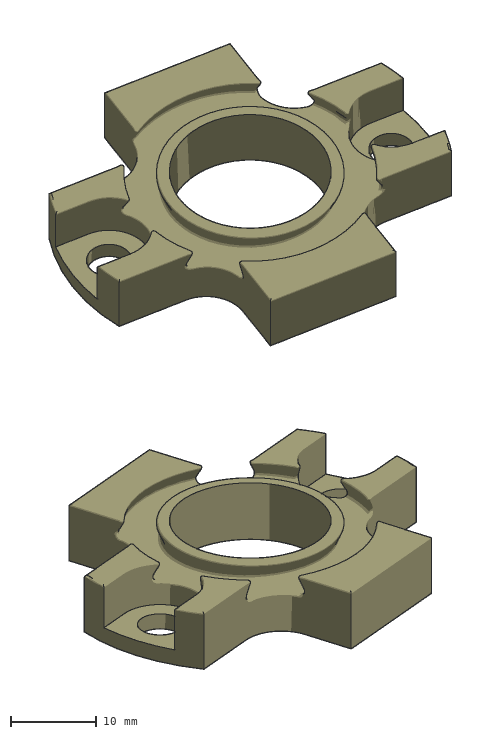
import cadquery as cq
import math

length_x = 40.0
length_y = 47.9
height = 7.5

arm_width = 16.95
inner_corner_radius = 5.0
bore_diameter = 19.0

screw_hole_diameter = 5.3
screw_hole_offset = 19.0
seat_width = 10.0
seat_floor_z = 2.0

groove_floor_z = 5.0
groove_floor_inner_radius = 11.0
groove_floor_outer_radius = 14.9
groove_root_radius = 0.6
groove_wall_tilt = 25.0

edge_round = 0.31
tolerance = 0.005


def box(size_x, size_y, bottom, top):
    """Box centred on the Z axis between two heights."""
    return cq.Workplane("XY").workplane(offset=bottom).rect(size_x, size_y).extrude(top - bottom)


def make_body():
    """Cross with rounded inner corners and round ends on the Y arms."""
    cross = box(length_x, arm_width, 0, height).union(box(arm_width, length_y, 0, height))
    half = arm_width / 2 + tolerance
    inner_corners = cq.selectors.BoxSelector((-half, -half, -tolerance), (half, half, height + tolerance))
    cross = cross.edges("|Z").edges(inner_corners).fillet(inner_corner_radius)
    round_ends = cq.Workplane("XY").circle(length_y / 2).extrude(height)
    bore = cq.Workplane("XY").circle(bore_diameter / 2).extrude(height)
    return cross.intersect(round_ends).cut(bore)


def make_screw_seat(side):
    """Open-ended round-nosed pocket with a through hole; side is +1 or -1 along Y."""
    center_y = side * screw_hole_offset
    depth = height - seat_floor_z
    channel_length = length_y / 2
    channel_center_y = center_y + side * channel_length / 2
    floor = cq.Workplane("XY").workplane(offset=seat_floor_z)
    nose = floor.center(0, center_y).circle(seat_width / 2).extrude(depth)
    channel = floor.center(0, channel_center_y).rect(seat_width, channel_length).extrude(depth)
    hole = cq.Workplane("XY").center(0, center_y).circle(screw_hole_diameter / 2).extrude(height)
    return nose.union(channel).union(hole)


def make_groove():
    """Ring with walls that lean over its floor and rounded roots."""
    tilt = math.radians(groove_wall_tilt)
    root_z = groove_floor_z + groove_root_radius
    tangent_reach = groove_root_radius * math.cos(tilt)
    tangent_z = root_z + groove_root_radius * math.sin(tilt)
    lip_reach = tangent_reach - (height - tangent_z) * math.tan(tilt)
    middle = (math.pi / 2 - tilt) / 2
    middle_reach = groove_root_radius * math.cos(middle)
    middle_z = root_z - groove_root_radius * math.sin(middle)

    inner = groove_floor_inner_radius
    outer = groove_floor_outer_radius
    profile = (
        cq.Workplane("XZ")
        .moveTo(inner, groove_floor_z)
        .lineTo(outer, groove_floor_z)
        .threePointArc((outer + middle_reach, middle_z), (outer + tangent_reach, tangent_z))
        .lineTo(outer + lip_reach, height)
        .lineTo(inner - lip_reach, height)
        .lineTo(inner - tangent_reach, tangent_z)
        .threePointArc((inner - middle_reach, middle_z), (inner, groove_floor_z))
        .close()
    )
    return profile.revolve(360, (0, 0, 0), (0, 1, 0))


def is_rounded(edge):
    """True for the sharp edges of the top and the groove, except the bore rim."""
    bounds = edge.BoundingBox()
    if bounds.zmin < groove_floor_z - tolerance:
        return False
    if max(abs(bounds.ymin), abs(bounds.ymax)) < tolerance:
        return False
    if edge.geomType() == "CIRCLE" and bounds.zlen < tolerance:
        center = edge.arcCenter()
        if math.hypot(center.x, center.y) < tolerance:
            at_top = bounds.zmin > height - tolerance
            return at_top and edge.radius() > bore_diameter / 2 + tolerance
    return True


body = make_body().cut(make_groove())
for side in (1, -1):
    body = body.cut(make_screw_seat(side))

rounded_edges = [edge for edge in body.edges().vals() if is_rounded(edge)]
result = body.newObject(rounded_edges).fillet(edge_round)